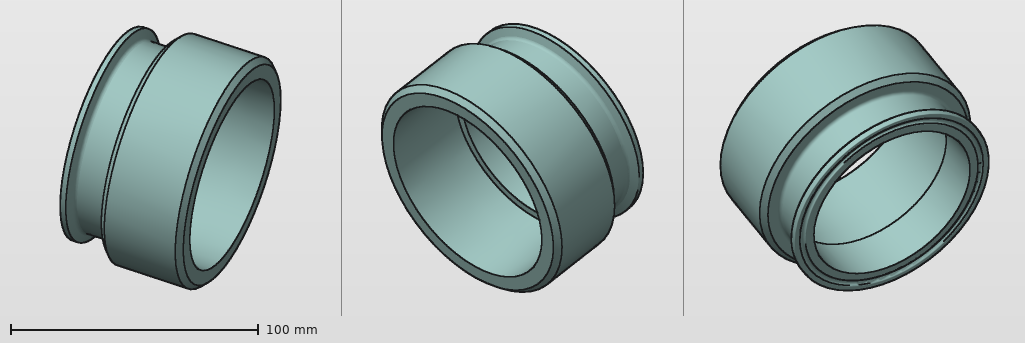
import cadquery as cq

length = 55.6
flange_rim_end = 2.9
flange_taper_end = 4.5
body_start = 19.1

bore_diameter = 72.9
counterbore_floor_diameter = 80.0
counterbore_mouth_diameter = 81.0
neck_diameter = 81.9
flange_diameter = 90.9
body_diameter = 98.55
gasket_groove_diameter = 83.2

body_chamfer = 2.5
neck_fillet = 1.5
flange_edge_fillet = 0.3
groove_radius = 1.3
groove_edge_fillet = 0.5

bore_radius = bore_diameter / 2
counterbore_floor_radius = counterbore_floor_diameter / 2
counterbore_mouth_radius = counterbore_mouth_diameter / 2
neck_radius = neck_diameter / 2
flange_radius = flange_diameter / 2
body_radius = body_diameter / 2
groove_center_radius = gasket_groove_diameter / 2


def revolve_about_x(profile):
    """Revolve a closed XY profile, drawn in absolute coordinates, about the X axis."""
    return profile.close().revolve(360, (0, 0, 0), (1, 0, 0))


def circle_edges(part, x, radius):
    """Select the circular edges of the given radius in the plane at station x."""
    tolerance = 0.01
    return part.edges("%CIRCLE").filter(
        lambda edge: abs(edge.Center().x - x) < tolerance
        and abs(edge.radius() - radius) < tolerance
    )


def make_turned_ring():
    """Clamp flange, neck and chamfered body around a bore with a tapered counterbore at +X."""
    shoulder_radius = body_radius - body_chamfer
    profile = cq.Workplane("XY").polyline([
        (0, bore_radius),
        (0, flange_radius),
        (flange_rim_end, flange_radius),
        (flange_taper_end, neck_radius),
        (body_start, neck_radius),
        (body_start, shoulder_radius),
        (body_start + body_chamfer, body_radius),
        (length - body_chamfer, body_radius),
        (length, shoulder_radius),
        (length, counterbore_mouth_radius),
        (body_start, counterbore_floor_radius),
        (body_start, bore_radius),
    ])
    return revolve_about_x(profile)


def make_groove_cutter():
    """Ring of half-round section that sinks the gasket groove into the clamp face."""
    profile = (
        cq.Workplane("XY")
        .moveTo(0, groove_center_radius - groove_radius)
        .threePointArc(
            (groove_radius, groove_center_radius),
            (0, groove_center_radius + groove_radius),
        )
    )
    return revolve_about_x(profile)


result = make_turned_ring().cut(make_groove_cutter())

fillets = [
    (flange_taper_end, neck_radius, neck_fillet),
    (body_start, neck_radius, neck_fillet),
    (0, flange_radius, flange_edge_fillet),
    (flange_rim_end, flange_radius, flange_edge_fillet),
    (0, groove_center_radius - groove_radius, groove_edge_fillet),
    (0, groove_center_radius + groove_radius, groove_edge_fillet),
]
for station, edge_radius, fillet_size in fillets:
    result = circle_edges(result, station, edge_radius).fillet(fillet_size)